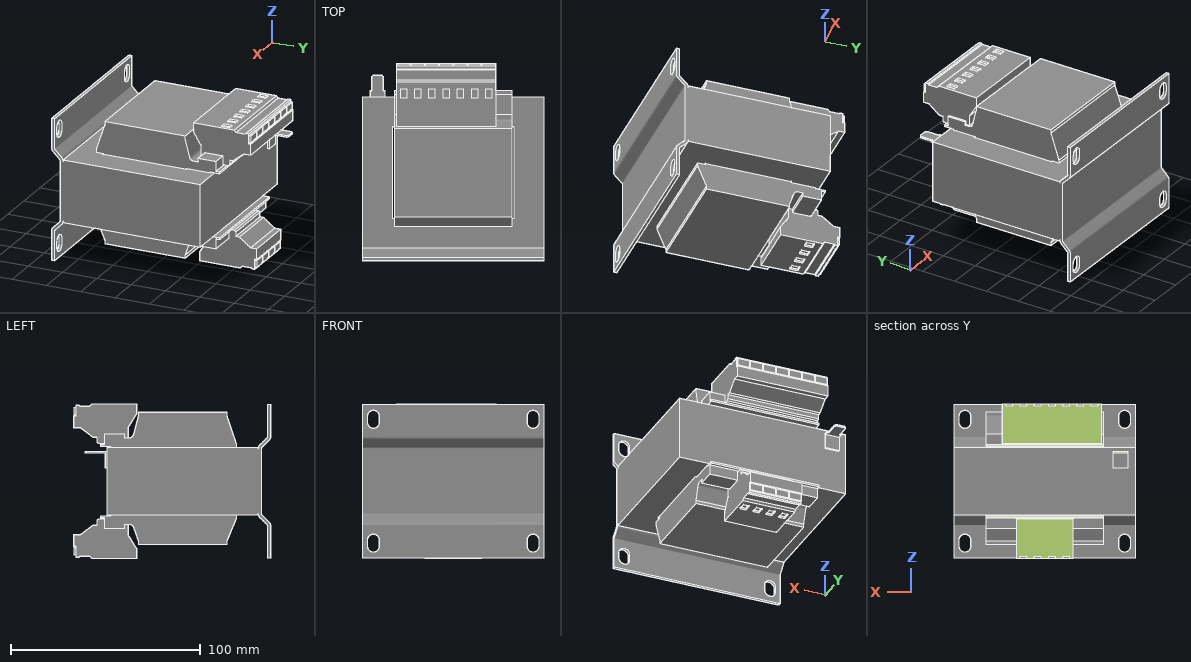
import cadquery as cq
import math


width = 96.0
length = 104.0
height = 81.6

core_front = 6.7
core_back = 86.5
core_half_height = 17.9
window_half_width = 31.9
window_front = 22.4
window_back = 70.6

sheet = 1.8
plate_face = core_front - sheet
flange_half_height = 40.6
lower_bend_height = 17.6
bend_angle = 45
bend_inner = 1.1
bend_outer = bend_inner + sheet
flange_bend_outer = 2.2
flange_bend_inner = flange_bend_outer - sheet
hole_spacing_x = 84.2
hole_spacing_z = 65.3
hole_length = 9.4
hole_width = 6.1

coil_half_width = 31.1
coil_front = 18.1
coil_top_front = 23.1
coil_top_back = 69.9
coil_edge = 1.9
coil_skirt_top = 19.7
coil_height_above = 36.4
coil_height_below = 33.5
seat_height = 22.9
seat_front = 72.9
seat_fillet = 2.4
rail_front = 77.3
rail_back = 87.8
rail_height = 25.0
lip_front = 84.5
lip_back = 89.9
lip_bottom = 18.3
lip_top = 19.3

pole_pitch = 7.5
poles_above = 7
first_pole_above = -4
poles_below = 4
first_pole_below = -2
block_top = height / 2
wire_pocket_front = 86.0
wire_pocket_length = 4.6
wire_pocket_width = 3.4
wire_pocket_depth = 1.0
block_front = 70.7
block_front_bottom = 35.6
block_neck_front = 75.1
block_neck_top = 28.6
block_top_back = 94.4
block_step_front = 95.5
block_step_back = 100.8
block_step_height = 39.6
block_rim_front = 101.2
block_rim_height = 40.1
block_nose_front = 100.5
block_nose_top = 34.4
block_nose_bottom = 28.2
block_belly_back = 93.9
block_foot_back = 91.8
block_foot_top = 23.2
block_foot_bottom = 19.9
block_foot_chamfer = 0.8
tab_back = 103.9
tab_front = 102.9
tab_bottom = 35.0
tab_top = 39.0
tab_gap = 0.6

earth_x = -39.9
earth_foot_width = 7.9
earth_blade_width = 6.2
earth_sheet = 0.9
earth_top = 15.8
earth_bottom = 6.9
earth_shoulder = 89.8
earth_tip = 98.0
earth_tip_chamfer = 0.8


def box(x_range, y_range, z_range):
    """Box between the given pairs of limits."""
    size = [high - low for low, high in (x_range, y_range, z_range)]
    corner = (x_range[0], y_range[0], z_range[0])
    return cq.Workplane("XY").box(*size, centered=False).translate(corner)


def side_profile(points, x_start, x_end):
    """Extrude a (Y, Z) outline from x_start to x_end."""
    return cq.Workplane("YZ").workplane(offset=x_start).polyline(points).close().extrude(x_end - x_start)


def fillet_corner(body, corner, radius):
    """Round the X-direction edge at a (Y, Z) corner of a body centred on X = 0."""
    return body.edges(cq.selectors.NearestToPointSelector((0, *corner))).fillet(radius)


def mirror_down(body):
    return body.mirror("XY")


def make_core():
    core = box((-width / 2, width / 2), (core_front, core_back), (-core_half_height, core_half_height))
    window = box(
        (-window_half_width, window_half_width),
        (window_front, window_back),
        (-core_half_height, core_half_height),
    )
    return core.cut(window)


def make_mounting_plate():
    upper_bend_height = lower_bend_height + plate_face / math.tan(math.radians(bend_angle))
    bend_shift = sheet * math.tan(math.radians(bend_angle / 2))
    front_lower = (plate_face, lower_bend_height)
    front_upper = (0, upper_bend_height)
    back_upper = (sheet, upper_bend_height + bend_shift)
    back_lower = (core_front, lower_bend_height + bend_shift)

    half = side_profile(
        [
            (plate_face, 0),
            front_lower,
            front_upper,
            (0, flange_half_height),
            (sheet, flange_half_height),
            back_upper,
            back_lower,
            (core_front, 0),
        ],
        -width / 2,
        width / 2,
    )
    bends = (
        (front_lower, bend_inner),
        (back_lower, bend_outer),
        (front_upper, flange_bend_outer),
        (back_upper, flange_bend_inner),
    )
    for corner, radius in bends:
        half = fillet_corner(half, corner, radius)

    holes = (
        cq.Workplane("XZ")
        .rect(hole_spacing_x, hole_spacing_z, forConstruction=True)
        .vertices()
        .slot2D(hole_length, hole_width, 90)
        .extrude(-sheet)
    )
    return half.union(mirror_down(half)).cut(holes)


def make_coil_half(coil_height):
    """Upper half of the winding with the bobbin rail that carries the terminals."""
    outline = [
        (window_front, 0),
        (window_front, core_half_height),
        (coil_front, core_half_height),
        (coil_front, coil_skirt_top),
        (coil_top_front, coil_height - coil_edge),
        (coil_top_front, coil_height),
        (coil_top_back, coil_height),
        (coil_top_back, coil_height - coil_edge),
        (seat_front, seat_height),
        (rail_front, seat_height),
        (rail_front, rail_height),
        (rail_back, rail_height),
        (rail_back, lip_top),
        (lip_back, lip_top),
        (lip_back, lip_bottom),
        (lip_front, lip_bottom),
        (lip_front, core_half_height),
        (window_back, core_half_height),
        (window_back, 0),
    ]
    half = side_profile(outline, -coil_half_width, coil_half_width)
    return fillet_corner(half, (seat_front, seat_height), seat_fillet)


def make_terminal_block(first_pole, poles):
    """Upper terminal block; poles are numbered along X from the middle of the part."""
    outline = [
        (block_front, block_top),
        (block_top_back, block_top),
        (block_step_front, block_step_height),
        (block_step_back, block_step_height),
        (block_rim_front, block_rim_height),
        (tab_front, block_rim_height),
        (tab_front, block_nose_top),
        (length, block_nose_top),
        (length, block_nose_bottom),
        (block_nose_front, block_nose_bottom),
        (block_belly_back, block_foot_top),
        (block_foot_back, block_foot_top),
        (block_foot_back, block_foot_bottom + block_foot_chamfer),
        (block_foot_back - block_foot_chamfer, block_foot_bottom),
        (rail_back, block_foot_bottom),
        (rail_back, rail_height),
        (rail_front, rail_height),
        (rail_front, seat_height),
        (block_neck_front, seat_height),
        (block_neck_front, block_neck_top),
        (block_front, block_front_bottom),
    ]
    block = side_profile(outline, first_pole * pole_pitch, (first_pole + poles) * pole_pitch)
    for pole in range(first_pole, first_pole + poles):
        pole_x = (pole + 0.5) * pole_pitch
        half_pocket = wire_pocket_width / 2
        pocket = box(
            (pole_x - half_pocket, pole_x + half_pocket),
            (wire_pocket_front, wire_pocket_front + wire_pocket_length),
            (block_top - wire_pocket_depth, block_top),
        )
        half_tab = (pole_pitch - tab_gap) / 2
        tab = box((pole_x - half_tab, pole_x + half_tab), (tab_front, tab_back), (tab_bottom, tab_top))
        block = block.cut(pocket).union(tab)
    return block


def make_earth_terminal():
    half_foot = earth_foot_width / 2
    half_blade = earth_blade_width / 2
    foot_x = (earth_x - half_foot, earth_x + half_foot)
    blade_x = (earth_x - half_blade, earth_x + half_blade)
    blade_z = (earth_top - earth_sheet, earth_top)

    foot = box(foot_x, (core_back, core_back + earth_sheet), (earth_bottom, earth_top))
    shoulder = box(foot_x, (core_back, earth_shoulder), blade_z)
    blade = box(blade_x, (core_back, earth_tip), blade_z).edges("|Z and >Y").chamfer(earth_tip_chamfer)
    return foot.union(shoulder).union(blade)


result = (
    make_core()
    .union(make_mounting_plate())
    .union(make_coil_half(coil_height_above))
    .union(mirror_down(make_coil_half(coil_height_below)))
    .union(make_terminal_block(first_pole_above, poles_above))
    .union(mirror_down(make_terminal_block(first_pole_below, poles_below)))
    .union(make_earth_terminal())
)